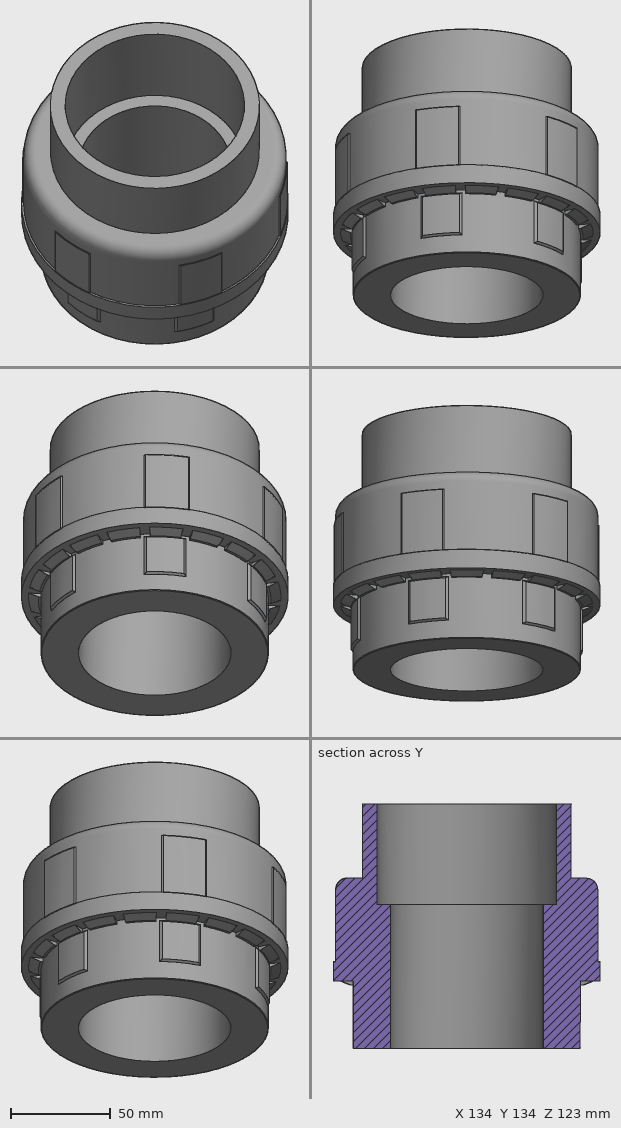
import cadquery as cq
import math

total_height = 123.0

pipe_radius = 105.0 / 2
socket_radius = 90.0 / 2
socket_depth = 50.5
bore_radius = 76.6 / 2

nut_radius = 132.0 / 2
nut_top = 85.8
nut_rounding = 6.0
collar_radius = 134 / 2
collar_bottom = 33.9
collar_top = 43.7

body_radius = 114.3 / 2
body_edge_chamfer = 0.4

pad_count = 6
first_pad_angle = 30
nut_pad_width = 23.0
nut_pad_flank = 0.5
nut_pad_height = 0.5
nut_pad_top = 75.6
body_pad_width = 21.2
body_pad_flank = 1.0
body_pad_height = 1.1
body_pad_bottom = 9.6
body_pad_top = 32.4
body_pad_bevel = 1.0

tooth_count = 18
tooth_gap = 5.0
tooth_bottom = 31.9
tooth_outer_radius = 63.4
tooth_inner_radius = 58.4

embed = 2.7


def revolved(points):
    """Revolve an outline of (radius, height) points about the Z axis."""
    return cq.Workplane("XZ").polyline(points).close().revolve(360, (0, 0, 0), (0, 1, 0))


def cylinder(radius, bottom, top):
    return cq.Workplane("XY").workplane(offset=bottom).circle(radius).extrude(top - bottom)


def grip_pads(ring, wall_radius, width, flank, height):
    """Cut a ring into equal pads whose sides slope inwards from wall to face."""
    half_base = width / 2
    base_distance = math.sqrt(wall_radius**2 - half_base**2)
    side_slope = flank / height
    inner_distance = base_distance - embed
    outer_distance = wall_radius + height
    half_inner = half_base + side_slope * embed
    half_outer = half_base - side_slope * (outer_distance - base_distance)
    wedge = (
        cq.Workplane("XY")
        .polyline([
            (inner_distance, -half_inner),
            (outer_distance, -half_outer),
            (outer_distance, half_outer),
            (inner_distance, half_inner),
        ])
        .close()
        .extrude(total_height)
    )
    pad = ring.intersect(wedge)
    pads = cq.Workplane("XY")
    for index in range(pad_count):
        angle = first_pad_angle + index * 360 / pad_count
        pads = pads.add(pad.rotate((0, 0, 0), (0, 0, 1), angle))
    return pads.combine()


def nut_pads():
    inner = nut_radius - embed
    outer = nut_radius + nut_pad_height
    ring = revolved([
        (inner, collar_bottom),
        (outer, collar_bottom),
        (outer, nut_pad_top),
        (inner, nut_pad_top),
    ])
    return grip_pads(ring, nut_radius, nut_pad_width, nut_pad_flank, nut_pad_height)


def body_pads():
    inner = body_radius - embed
    outer = body_radius + body_pad_height
    ring = revolved([
        (inner, body_pad_bottom),
        (body_radius, body_pad_bottom),
        (outer, body_pad_bottom + body_pad_bevel),
        (outer, body_pad_top - body_pad_bevel),
        (body_radius, body_pad_top),
        (inner, body_pad_top),
    ])
    return grip_pads(ring, body_radius, body_pad_width, body_pad_flank, body_pad_height)


def teeth():
    """Cone-faced ring below the collar, parted by radial slots."""
    inner = body_radius - embed
    ring = revolved([
        (inner, tooth_bottom),
        (tooth_inner_radius, tooth_bottom),
        (tooth_outer_radius, collar_bottom),
        (inner, collar_bottom),
    ])
    slot = cq.Workplane("XY").box(
        collar_radius, tooth_gap, total_height, centered=(False, True, False)
    )
    for index in range(tooth_count):
        ring = ring.cut(slot.rotate((0, 0, 0), (0, 0, 1), index * 360 / tooth_count))
    return ring


body = cylinder(body_radius, 0, collar_top).faces("<Z").edges().chamfer(body_edge_chamfer)
pipe = cylinder(pipe_radius, 0, total_height)
collar = cylinder(collar_radius, collar_bottom, collar_top)
nut = cylinder(nut_radius, collar_bottom, nut_top).faces(">Z").edges().fillet(nut_rounding)
bore = cylinder(bore_radius, 0, total_height)
socket = cylinder(socket_radius, total_height - socket_depth, total_height)

result = (
    body.union(pipe)
    .union(nut)
    .union(collar)
    .union(nut_pads())
    .union(body_pads())
    .union(teeth())
    .cut(bore)
    .cut(socket)
)